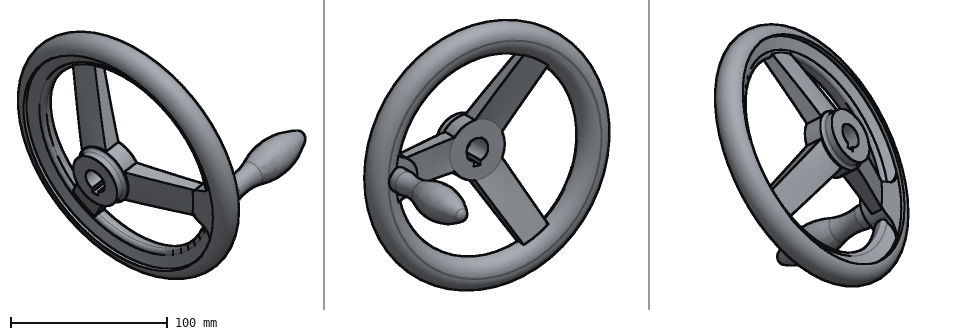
import cadquery as cq
import math


wheel_radius = 90.0
rim_width = 20.0
rim_front = 22.5
rim_back = rim_front + rim_width
crown_radius = rim_width / 2
crown_center = wheel_radius - crown_radius
lip_radius = 79.7
lip_depth = 2.9
cone_inner_radius = 71.5
cone_inner_y = 28.5
rim_inner_radius = 68.0
inner_round = 11.2

hub_radius = 20.5
hub_nose_radius = 18.5
hub_length = 20.9
nose_length = 5.0
shoulder_y = 8.0
bore_diameter = 16.0
keyway_width = 5.0
keyway_depth = 10.8

spoke_count = 3
spoke_root_width = 23.4
spoke_end_width = 21.0
spoke_root_radius = 16.2
spoke_end_radius = 72.0
spoke_front_slope = 0.408
spoke_back_slope = 0.32

handle_offset = 71.0
handle_root_radius = 8.0
handle_neck_radius = 7.0
handle_neck_y = 58.9
grip_start_radius = 8.6
grip_start_y = 71.0
grip_radius = 12.2
grip_widest_y = 88.2
grip_end_radius = 4.3
grip_end_y = 117.9
handle_root_end = 50.0
handle_tip = 119.9
pad_radius = 14.4
pad_front = 25.2
pad_back = rim_back - 2.2
pad_fillet = 11.9
pad_outer_radius = lip_radius


def revolve_about_wheel_axis(profile):
    return profile.close().revolve(360, (0, 0, 0), (0, 1, 0))


def prism_along_y(front, back):
    """Workplane whose sketch axes are X and Z, with its depth from front to back."""
    return cq.Workplane("XZ", origin=(0, back, 0)), back - front


def make_rim():
    round_center = rim_inner_radius + inner_round
    round_start_y = rim_back - inner_round
    bend = inner_round * math.sqrt(0.5)
    profile = (
        cq.Workplane("XY")
        .moveTo(crown_center, rim_front)
        .threePointArc((wheel_radius, rim_front + crown_radius), (crown_center, rim_back))
        .lineTo(round_center, rim_back)
        .threePointArc(
            (round_center - bend, round_start_y + bend),
            (rim_inner_radius, round_start_y),
        )
        .tangentArcPoint((cone_inner_radius, cone_inner_y), relative=False)
        .lineTo(lip_radius, rim_front + lip_depth)
        .lineTo(lip_radius, rim_front)
    )
    return revolve_about_wheel_axis(profile)


def make_hub():
    bend = math.sqrt(0.5)
    shoulder = hub_radius - hub_nose_radius
    rise = shoulder_y - nose_length
    profile = (
        cq.Workplane("XY")
        .lineTo(hub_nose_radius, 0)
        .lineTo(hub_nose_radius, nose_length)
        .threePointArc(
            (hub_nose_radius + shoulder * (1 - bend), nose_length + rise * bend),
            (hub_radius, shoulder_y),
        )
        .lineTo(hub_radius, hub_length)
        .lineTo(0, hub_length)
    )
    return revolve_about_wheel_axis(profile)


def make_spokes():
    def front_y(radius):
        return shoulder_y + spoke_front_slope * (radius - hub_nose_radius)

    def back_y(radius):
        return hub_length + spoke_back_slope * (radius - hub_radius)

    dish = revolve_about_wheel_axis(
        cq.Workplane("XY")
        .moveTo(spoke_root_radius, front_y(spoke_root_radius))
        .lineTo(spoke_end_radius, front_y(spoke_end_radius))
        .lineTo(spoke_end_radius, back_y(spoke_end_radius))
        .lineTo(spoke_root_radius, back_y(spoke_root_radius))
    )
    plane, depth = prism_along_y(0, rim_back)
    arm = (
        plane.moveTo(spoke_root_radius, -spoke_root_width / 2)
        .lineTo(spoke_end_radius, -spoke_end_width / 2)
        .lineTo(spoke_end_radius, spoke_end_width / 2)
        .lineTo(spoke_root_radius, spoke_root_width / 2)
        .close()
        .extrude(depth)
    )
    spoke = dish.intersect(arm)
    spokes = spoke
    for index in range(1, spoke_count):
        spokes = spokes.union(spoke.rotate((0, 0, 0), (0, 1, 0), index * 360 / spoke_count))
    return spokes


def make_pad():
    flare_center_radius = pad_outer_radius - pad_fillet
    boss_to_flare = pad_radius + pad_fillet
    center_x = (flare_center_radius**2 + handle_offset**2 - boss_to_flare**2) / (2 * handle_offset)
    center_z = math.sqrt(flare_center_radius**2 - center_x**2)
    toward_boss = math.atan2(-center_z, handle_offset - center_x)
    toward_rim = math.atan2(center_z, center_x)

    def on_flare(angle, side):
        x = center_x + pad_fillet * math.cos(angle)
        z = center_z + pad_fillet * math.sin(angle)
        return (x, side * z)

    middle = (toward_boss + toward_rim) / 2
    plane, depth = prism_along_y(pad_front, pad_back)
    return (
        plane.moveTo(*on_flare(toward_rim, 1))
        .threePointArc(on_flare(middle, 1), on_flare(toward_boss, 1))
        .threePointArc((handle_offset - pad_radius, 0), on_flare(toward_boss, -1))
        .threePointArc(on_flare(middle, -1), on_flare(toward_rim, -1))
        .threePointArc((pad_outer_radius, 0), on_flare(toward_rim, 1))
        .close()
        .extrude(depth)
    )


def make_handle():
    cap_height = handle_tip - grip_end_y
    cap_radius = (grip_end_radius**2 + cap_height**2) / (2 * cap_height)
    cap_mid_x = grip_end_radius / 2
    cap_mid_y = handle_tip - cap_radius + math.sqrt(cap_radius**2 - cap_mid_x**2)
    return (
        cq.Workplane("XY")
        .moveTo(0, rim_front + crown_radius)
        .lineTo(handle_root_radius, rim_front + crown_radius)
        .lineTo(handle_root_radius, handle_root_end)
        .threePointArc((handle_neck_radius, handle_neck_y), (grip_start_radius, grip_start_y))
        .spline([(grip_radius, grip_widest_y), (grip_end_radius, grip_end_y)], includeCurrent=True)
        .threePointArc((cap_mid_x, cap_mid_y), (0, handle_tip))
        .close()
        .revolve(360, (0, 0, 0), (0, 1, 0))
        .translate((handle_offset, 0, 0))
    )


def make_bore():
    plane, depth = prism_along_y(0, hub_length)
    bore = plane.circle(bore_diameter / 2).extrude(depth)
    keyway = plane.center(0, -keyway_depth / 2).rect(keyway_width, keyway_depth).extrude(depth)
    return bore.union(keyway)


wheel = make_rim().union(make_spokes()).union(make_hub()).union(make_pad())
result = wheel.union(make_handle()).cut(make_bore())